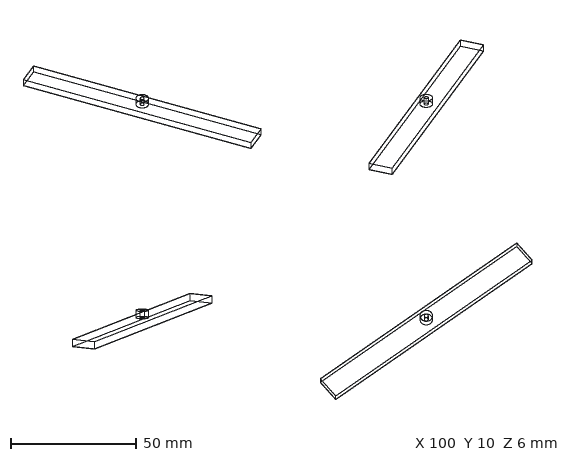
import cadquery as cq

bar_length = 100.0
bar_width = 10.0
bar_thickness = 3.0

boss_diameter = 5.0
boss_height = 3.0
hole_diameter = 1.6
hole_depth = boss_height

bar = cq.Workplane("XY").box(bar_length, bar_width, bar_thickness, centered=(True, True, False))

boss = cq.Workplane("XY").workplane(offset=bar_thickness).circle(boss_diameter / 2).extrude(boss_height)

boss_top = bar_thickness + boss_height
hole = cq.Workplane("XY").workplane(offset=boss_top).circle(hole_diameter / 2).extrude(-hole_depth)

result = bar.union(boss).cut(hole)